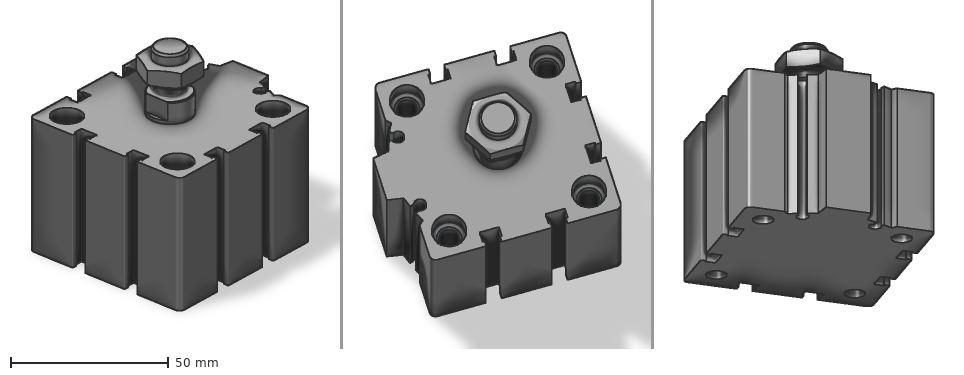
import cadquery as cq
import math

TOTAL_HEIGHT = 72.0

HOUSING_WIDTH = 63.5
HOUSING_HEIGHT = 48.0
CORNER_RADIUS = 2.0
HALF_WIDTH = HOUSING_WIDTH / 2

RAIL_TOP_Y = 39.25
RAIL_TOP_HALF_WIDTH = 7.5
RAIL_FOOT_HALF_WIDTH = 8.4
SHOULDER_END_X = 14.55
SHOULDER_TILT = 20.0
NOTCH_BOTTOM_X = 17.4
NOTCH_DEPTH = 1.45

KEYHOLE_X = 12.2
KEYHOLE_Y = 29.6
KEYHOLE_DIAMETER = 4.0
KEYHOLE_NECK_WIDTH = 2.9
KEYHOLE_NECK_LENGTH = 4.3

SLOT_OFFSET = 10.95
SLOT_NECK_WIDTH = 5.2
SLOT_NECK_DEPTH = 1.9
SLOT_POCKET_WIDTH = 6.5
SLOT_DEPTH = 5.1
SLOT_FILLET = 0.2

MOUNT_OFFSET = 23.25
MOUNT_DIAMETER = 6.6
COUNTERBORE_DIAMETER = 11.0
COUNTERBORE_DEPTH = 6.8
COUNTERSINK_DIAMETER = 8.0

ROD_DIAMETER = 16.0
SHOULDER_Z = 56.0
SHOULDER_CHAMFER = 0.35
FLATS_WIDTH = 13.0
FLATS_BOTTOM_Z = 49.3
NECK_DIAMETER = 10.2
NECK_BOTTOM_FILLET = 0.5
NECK_TOP_Z = 57.1
NECK_TOP_FILLET = 0.9
NECK_CONE_ANGLE = 20.0
THREAD_DIAMETER = 12.0
THREAD_TIP_DIAMETER = 10.65
THREAD_TIP_CHAMFER_HEIGHT = 0.9

HEX_SIDES = 6
HEX_HALF_ANGLE = 180 / HEX_SIDES
NUT_ACROSS_FLATS = 19.0
NUT_THICKNESS = 6.0
NUT_BOTTOM_Z = 62.0
NUT_CHAMFER_ANGLE = 15.0
NUT_FACE_DIAMETER = 18.7


def make_profile():
    """Square column plus the sensor rail, with its two V notches."""
    column = (
        cq.Workplane("XY")
        .rect(HOUSING_WIDTH, HOUSING_WIDTH)
        .extrude(HOUSING_HEIGHT)
        .edges("|Z")
        .fillet(CORNER_RADIUS)
    )
    shoulder_drop = (SHOULDER_END_X - RAIL_FOOT_HALF_WIDTH) * math.tan(math.radians(SHOULDER_TILT))
    half_rail = [
        (RAIL_TOP_HALF_WIDTH, RAIL_TOP_Y),
        (RAIL_FOOT_HALF_WIDTH, HALF_WIDTH + shoulder_drop),
        (SHOULDER_END_X, HALF_WIDTH),
    ]
    mirrored_rail = [(-x, y) for x, y in reversed(half_rail)]
    rail_root = [(SHOULDER_END_X, 0), (-SHOULDER_END_X, 0)]
    rail_outline = half_rail + rail_root + mirrored_rail
    rail = cq.Workplane("XY").polyline(rail_outline).close().extrude(HOUSING_HEIGHT)
    profile = column.union(rail)
    for side in (-1, 1):
        notch = (
            cq.Workplane("XY")
            .moveTo(side * SHOULDER_END_X, HALF_WIDTH)
            .lineTo(side * NOTCH_BOTTOM_X, HALF_WIDTH - NOTCH_DEPTH)
            .lineTo(side * (NOTCH_BOTTOM_X + NOTCH_DEPTH), HALF_WIDTH)
            .close()
            .extrude(HOUSING_HEIGHT)
        )
        profile = profile.cut(notch)
    return profile


def make_keyhole(side):
    """Keyhole groove on the +X (side = 1) or -X (side = -1) rail shoulder."""
    bulb = cq.Workplane("XY").circle(KEYHOLE_DIAMETER / 2).extrude(HOUSING_HEIGHT)
    neck = (
        cq.Workplane("XY")
        .center(0, KEYHOLE_NECK_LENGTH / 2)
        .rect(KEYHOLE_NECK_WIDTH, KEYHOLE_NECK_LENGTH)
        .extrude(HOUSING_HEIGHT)
    )
    return (
        bulb.union(neck)
        .rotate((0, 0, 0), (0, 0, 1), -side * SHOULDER_TILT)
        .translate((side * KEYHOLE_X, KEYHOLE_Y, 0))
    )


def make_slot(offset):
    """T-slot on the -Y side at the given X, its mouth edges and its floor corners rounded."""
    half_neck = SLOT_NECK_WIDTH / 2
    half_pocket = SLOT_POCKET_WIDTH / 2
    mouth_y = -HALF_WIDTH
    lip_y = mouth_y + SLOT_NECK_DEPTH
    floor_y = mouth_y + SLOT_DEPTH
    half_mouth = half_neck + SLOT_FILLET
    fillet_y = mouth_y + SLOT_FILLET
    return (
        cq.Workplane("XY")
        .moveTo(-half_mouth, mouth_y)
        .radiusArc((-half_neck, fillet_y), -SLOT_FILLET)
        .lineTo(-half_neck, lip_y)
        .lineTo(-half_pocket, lip_y)
        .lineTo(-half_pocket, floor_y - SLOT_FILLET)
        .radiusArc((-half_pocket + SLOT_FILLET, floor_y), SLOT_FILLET)
        .lineTo(half_pocket - SLOT_FILLET, floor_y)
        .radiusArc((half_pocket, floor_y - SLOT_FILLET), SLOT_FILLET)
        .lineTo(half_pocket, lip_y)
        .lineTo(half_neck, lip_y)
        .lineTo(half_neck, fillet_y)
        .radiusArc((half_mouth, mouth_y), -SLOT_FILLET)
        .close()
        .extrude(HOUSING_HEIGHT)
        .translate((offset, 0, 0))
    )


def make_mount_holes():
    """Four through holes, each with a counterbore and a countersunk mouth below it."""
    bore = MOUNT_DIAMETER / 2
    sink = COUNTERSINK_DIAMETER / 2
    counterbore = COUNTERBORE_DIAMETER / 2
    counterbore_floor = HOUSING_HEIGHT - COUNTERBORE_DEPTH
    outline = [
        (0, 0),
        (bore, 0),
        (bore, counterbore_floor - (sink - bore)),
        (sink, counterbore_floor),
        (counterbore, counterbore_floor),
        (counterbore, HOUSING_HEIGHT),
        (0, HOUSING_HEIGHT),
    ]
    hole = cq.Workplane("XZ").polyline(outline).close().revolve(360, (0, 0, 0), (0, 1, 0)).val()
    return (
        cq.Workplane("XY")
        .rect(2 * MOUNT_OFFSET, 2 * MOUNT_OFFSET, forConstruction=True)
        .vertices()
        .eachpoint(lambda location: hole.moved(location))
    )


def make_housing():
    body = make_profile()
    for side in (-1, 1):
        body = body.cut(make_keyhole(side))
        slot = make_slot(side * SLOT_OFFSET)
        for turn in (-90, 0, 90):
            body = body.cut(slot.rotate((0, 0, 0), (0, 0, 1), turn))
    return body.cut(make_mount_holes())


def make_rod():
    """Rod standing on the housing, with wrench flats, an undercut neck and a threaded end."""
    rod = ROD_DIAMETER / 2
    neck = NECK_DIAMETER / 2
    thread = THREAD_DIAMETER / 2
    tip = THREAD_TIP_DIAMETER / 2
    cone_angle = math.radians(NECK_CONE_ANGLE)
    cone_bottom = neck + NECK_TOP_FILLET * (1 - math.cos(cone_angle))
    cone_bottom_z = NECK_TOP_Z + NECK_TOP_FILLET * math.sin(cone_angle)
    thread_bottom_z = cone_bottom_z + (thread - cone_bottom) / math.tan(cone_angle)
    turned = (
        cq.Workplane("XZ")
        .moveTo(0, HOUSING_HEIGHT)
        .lineTo(rod, HOUSING_HEIGHT)
        .lineTo(rod, SHOULDER_Z - SHOULDER_CHAMFER)
        .lineTo(rod - SHOULDER_CHAMFER, SHOULDER_Z)
        .lineTo(neck + NECK_BOTTOM_FILLET, SHOULDER_Z)
        .radiusArc((neck, SHOULDER_Z + NECK_BOTTOM_FILLET), NECK_BOTTOM_FILLET)
        .lineTo(neck, NECK_TOP_Z)
        .radiusArc((cone_bottom, cone_bottom_z), NECK_TOP_FILLET)
        .lineTo(thread, thread_bottom_z)
        .lineTo(thread, TOTAL_HEIGHT - THREAD_TIP_CHAMFER_HEIGHT)
        .lineTo(tip, TOTAL_HEIGHT)
        .lineTo(0, TOTAL_HEIGHT)
        .close()
        .revolve(360, (0, 0, 0), (0, 1, 0))
    )
    flats_height = SHOULDER_Z - FLATS_BOTTOM_Z
    flats_depth = (ROD_DIAMETER - FLATS_WIDTH) / 2
    for side in (-1, 1):
        flat = (
            cq.Workplane("XY", origin=(0, side * (FLATS_WIDTH + flats_depth) / 2, FLATS_BOTTOM_Z))
            .rect(ROD_DIAMETER, flats_depth)
            .extrude(flats_height)
        )
        turned = turned.cut(flat)
    return turned


def make_nut():
    """Hexagon nut with two flats facing +X and -X, both ends chamfered by a cone."""
    across_corners = NUT_ACROSS_FLATS / math.cos(math.radians(HEX_HALF_ANGLE))
    corner = across_corners / 2
    face = NUT_FACE_DIAMETER / 2
    drop = (corner - face) * math.tan(math.radians(NUT_CHAMFER_ANGLE))
    hexagon = (
        cq.Workplane("XY")
        .polygon(HEX_SIDES, across_corners)
        .circle(THREAD_DIAMETER / 2)
        .extrude(NUT_THICKNESS)
        .rotate((0, 0, 0), (0, 0, 1), HEX_HALF_ANGLE)
    )
    envelope_outline = [
        (0, 0),
        (face, 0),
        (corner, drop),
        (corner, NUT_THICKNESS - drop),
        (face, NUT_THICKNESS),
        (0, NUT_THICKNESS),
    ]
    envelope = cq.Workplane("XZ").polyline(envelope_outline).close().revolve(360, (0, 0, 0), (0, 1, 0))
    return hexagon.intersect(envelope).translate((0, 0, NUT_BOTTOM_Z))


housing = make_housing()
rod = make_rod()
nut = make_nut()

result = cq.Compound.makeCompound([housing.val(), rod.val(), nut.val()])